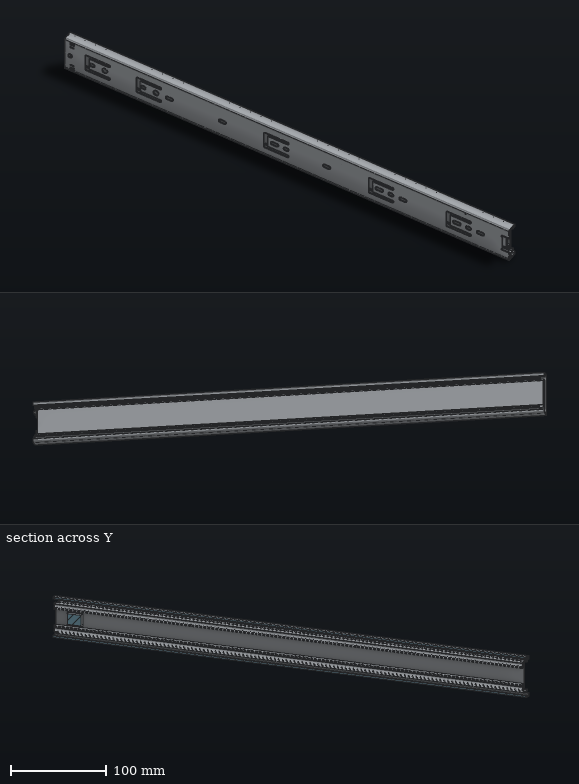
import cadquery as cq

LENGTH = 550.0
DEPTH = 12.5
HEIGHT = 44.5
SHEET = 1.2
WEB_Y = -DEPTH / 2
OPEN_Y = DEPTH / 2

NIB_RADIUS = 1.5
NIB_Z = 14.0
RAIL_LENGTH = LENGTH - NIB_RADIUS
FLANGE = 2.0
OUTER_CORNER_RADIUS = 1.5
LIP_WIDTH = 2.5
LIP_HEIGHT = 4.0
OUTER_RACE_RADIUS = 1.4

LANCE_LENGTH = 31.0
LANCE_HALF_HEIGHT = 11.0
LANCE_SLIT = 3.5
LANCE_MOUTH = 5.0
SLOT_HEIGHT = 4.5
SHORT_SLOT = 6.0
LONG_SLOT = 10.0
ROUND_HOLE = 6.5
SMALL_SLOT = 6.5
NEAR_LANCES = [25.5, 88.5]
FAR_LANCES = [246.0, 375.0, 471.0]
NEAR_SLOT_AT = 9.0
NEAR_HOLE_AT = 24.0
FAR_SLOT_AT = 13.0
FAR_SLOT2_AT = 27.5

WEB_SLOTS = [129.0, 194.5, 323.5, 417.5, 513.0]
WEB_SLOT_LENGTH = 9.5

END_HOLE_X = 6.5
END_HOLE = 5.0
WINDOW_X = 6.5
WINDOW_LENGTH = 5.0
WINDOW_BOTTOM = 16.5
WINDOW_TOP = 20.0
SLIT_Z = 12.5
SLIT_HEIGHT = 0.5

NOTCH_X = 540.0
NOTCH_HALF_HEIGHT = 10.5
RELIEF_RADIUS = 1.0

MIDDLE_START = 5.5
MIDDLE_END = 546.5
MIDDLE_HALF_HEIGHT = 17.5
MIDDLE_WEB_Y = -4.5
RECESS_DEPTH = 0.8
RECESS_OUTER_HALF = 9.0
RECESS_INNER_HALF = 7.5
MIDDLE_LIP_Y = 4.5
MIDDLE_LIP_DROP = 1.4
MIDDLE_NOTCH_X = 543.5
MIDDLE_NOTCH_HALF_HEIGHT = 7.0

INSIDE_START = 1.0
INSIDE_END = MIDDLE_NOTCH_X
CAGE_HALF_HEIGHT = 15.5
CAGE_WEB = 1.0
CAGE_ARM = 5.2
CAGE_TIP_Y = 3.6
CAGE_BORE = 3.5
CAGE_BORE_Y = -0.8

INNER_WEB = 2.0
INNER_HALF_HEIGHT = 13.0
INNER_FLANGE_HALF_HEIGHT = 10.0
INNER_FLANGE_Y = -1.0

BLOCK_START = 16.5
BLOCK_LENGTH = 16.5
BLOCK_HALF_HEIGHT = 7.0
BLOCK_BACK_Y = -1.0
BLOCK_CHAMFER = 1.5
BLOCK_HOLE = 1.0
BLOCK_HOLE_DEPTH = 8.0
BLOCK_HOLE_Z = 2.0


def box(x0, x1, y0, y1, z0, z1):
    """Box between two opposite corners."""
    return cq.Workplane("XY").box(x1 - x0, y1 - y0, z1 - z0, centered=False).translate((x0, y0, z0))


def mirrored(shape):
    """A shape together with its mirror image below the plane Z = 0."""
    return shape.union(shape.mirror("XY"))


def rail(half_outline, start, end):
    """Bar along X whose section is symmetric about Z = 0; the outline gives its upper half in (Y, Z)."""
    outline = half_outline + [(y, -z) for y, z in reversed(half_outline)]
    return cq.Workplane("YZ").workplane(offset=start).polyline(outline).close().extrude(end - start)


def web_cut(sketch):
    """Cutter through the outer web, from a closed outline on the XZ plane."""
    return sketch.extrude(-SHEET).translate((0, WEB_Y, 0))


def web_slot(x, length):
    """Round-ended slot through the outer web."""
    return web_cut(cq.Workplane("XZ").center(x, 0).slot2D(length, SLOT_HEIGHT))


def web_hole(x, diameter):
    """Round hole through the outer web."""
    return web_cut(cq.Workplane("XZ").center(x, 0).circle(diameter / 2))


def lance_cut(x):
    """U-shaped cut with round-ended arms that frees one tongue."""
    height = 2 * LANCE_HALF_HEIGHT
    mouth = web_cut(cq.Workplane("XZ").center(x + LANCE_MOUTH / 2, 0).rect(LANCE_MOUTH, height))
    mouth = mouth.edges("|Y and <X").fillet(LANCE_SLIT / 2)
    arm_z = LANCE_HALF_HEIGHT - LANCE_SLIT / 2
    arm = web_cut(cq.Workplane("XZ").center(x + LANCE_LENGTH / 2, arm_z).slot2D(LANCE_LENGTH, LANCE_SLIT))
    return mouth.union(mirrored(arm))


def end_openings():
    """Window and thin slit in the web's upper left corner, with a narrow bridge between them."""
    x0, x1 = WINDOW_X, WINDOW_X + WINDOW_LENGTH
    y0, y1 = WEB_Y, WEB_Y + SHEET
    window = box(x0, x1, y0, y1, WINDOW_BOTTOM, WINDOW_TOP)
    return window.union(box(x0, x1, y0, y1, SLIT_Z, SLIT_Z + SLIT_HEIGHT))


def make_outer_rail():
    top = HEIGHT / 2
    half_outline = [
        (WEB_Y, top),
        (OPEN_Y, top),
        (OPEN_Y, top - LIP_HEIGHT),
        (OPEN_Y - LIP_WIDTH, top - LIP_HEIGHT),
        (OPEN_Y - LIP_WIDTH, top - FLANGE),
        (WEB_Y + SHEET, top - FLANGE),
    ]
    body = rail(half_outline, 0, RAIL_LENGTH)
    body = body.faces(">Z or <Z").edges("|X").fillet(OUTER_CORNER_RADIUS)

    race_y = OPEN_Y - LIP_WIDTH - OUTER_RACE_RADIUS
    race = cq.Workplane("YZ").center(race_y, top - FLANGE).circle(OUTER_RACE_RADIUS).extrude(RAIL_LENGTH)
    body = body.cut(mirrored(race))

    for x in NEAR_LANCES:
        body = body.cut(lance_cut(x))
        body = body.cut(web_slot(x + NEAR_SLOT_AT, SHORT_SLOT)).cut(web_hole(x + NEAR_HOLE_AT, ROUND_HOLE))
    for x in FAR_LANCES:
        body = body.cut(lance_cut(x))
        body = body.cut(web_slot(x + FAR_SLOT_AT, LONG_SLOT)).cut(web_slot(x + FAR_SLOT2_AT, SMALL_SLOT))
    for x in WEB_SLOTS:
        body = body.cut(web_slot(x, WEB_SLOT_LENGTH))

    body = body.cut(web_hole(END_HOLE_X, END_HOLE)).cut(mirrored(end_openings()))

    web_inside = WEB_Y + SHEET
    notch = box(NOTCH_X, RAIL_LENGTH, WEB_Y, web_inside, -NOTCH_HALF_HEIGHT, NOTCH_HALF_HEIGHT)
    relief_z = NOTCH_HALF_HEIGHT - RELIEF_RADIUS
    relief = web_cut(cq.Workplane("XZ").center(NOTCH_X, relief_z).circle(RELIEF_RADIUS))
    body = body.cut(notch).cut(mirrored(relief))

    nib = web_cut(cq.Workplane("XZ").center(RAIL_LENGTH, NIB_Z).circle(NIB_RADIUS))
    return body.union(mirrored(nib))


def recess_corners(web_y):
    """Corners (Y, Z) of the set-back strip on one face of a web, from the outside in."""
    return [(web_y, RECESS_OUTER_HALF), (web_y + RECESS_DEPTH, RECESS_INNER_HALF)]


def make_middle_rail():
    half = MIDDLE_HALF_HEIGHT
    inside = half - SHEET
    half_outline = [
        (MIDDLE_WEB_Y, half),
        (MIDDLE_LIP_Y, half),
        (MIDDLE_LIP_Y + SHEET, half - MIDDLE_LIP_DROP),
        (OPEN_Y, half - MIDDLE_LIP_DROP),
        (OPEN_Y, inside - MIDDLE_LIP_DROP),
        (MIDDLE_LIP_Y, inside - MIDDLE_LIP_DROP),
        (MIDDLE_LIP_Y - SHEET, inside),
        (MIDDLE_WEB_Y + SHEET, inside),
        *recess_corners(MIDDLE_WEB_Y + SHEET),
    ]
    half_outline = recess_corners(MIDDLE_WEB_Y)[::-1] + half_outline
    body = rail(half_outline, MIDDLE_START, MIDDLE_END)
    notch_half = MIDDLE_NOTCH_HALF_HEIGHT
    notch = box(MIDDLE_NOTCH_X, MIDDLE_END, WEB_Y, OPEN_Y, -notch_half, notch_half)
    return body.cut(notch)


def make_cage():
    web_y = MIDDLE_WEB_Y + SHEET
    half_outline = [
        (web_y, CAGE_HALF_HEIGHT),
        (CAGE_TIP_Y, CAGE_HALF_HEIGHT),
        (CAGE_TIP_Y, CAGE_HALF_HEIGHT - CAGE_ARM),
        (web_y + CAGE_WEB, CAGE_HALF_HEIGHT - CAGE_ARM),
        *recess_corners(web_y + CAGE_WEB),
    ]
    half_outline = recess_corners(web_y)[::-1] + half_outline
    body = rail(half_outline, INSIDE_START, INSIDE_END)
    bore_z = CAGE_HALF_HEIGHT - CAGE_ARM / 2
    bore = cq.Workplane("YZ").center(CAGE_BORE_Y, bore_z).circle(CAGE_BORE / 2).extrude(LENGTH)
    return body.cut(mirrored(bore))


def make_inner_rail():
    web_y = OPEN_Y - INNER_WEB
    half = INNER_FLANGE_HALF_HEIGHT
    half_outline = [
        (OPEN_Y, INNER_HALF_HEIGHT),
        (web_y, INNER_HALF_HEIGHT),
        (web_y, half),
        (INNER_FLANGE_Y, half),
        (INNER_FLANGE_Y, half - SHEET),
        (web_y, half - SHEET),
    ]
    return rail(half_outline, INSIDE_START, INSIDE_END)


def make_stop_block():
    end = BLOCK_START + BLOCK_LENGTH
    front_y = OPEN_Y - INNER_WEB
    body = box(BLOCK_START, end, BLOCK_BACK_Y, front_y, -BLOCK_HALF_HEIGHT, BLOCK_HALF_HEIGHT)
    body = body.edges("|X").chamfer(BLOCK_CHAMFER)
    hole_y = (BLOCK_BACK_Y + front_y) / 2
    hole = cq.Workplane("YZ").workplane(offset=BLOCK_START).center(hole_y, BLOCK_HOLE_Z)
    hole = hole.circle(BLOCK_HOLE / 2).extrude(BLOCK_HOLE_DEPTH)
    return body.cut(mirrored(hole))


outer_rail = make_outer_rail()
middle_rail = make_middle_rail()
cage = make_cage()
inner_rail = make_inner_rail()
stop_block = make_stop_block()

result = cq.Compound.makeCompound(
    [outer_rail.val(), middle_rail.val(), cage.val(), inner_rail.val(), stop_block.val()]
)